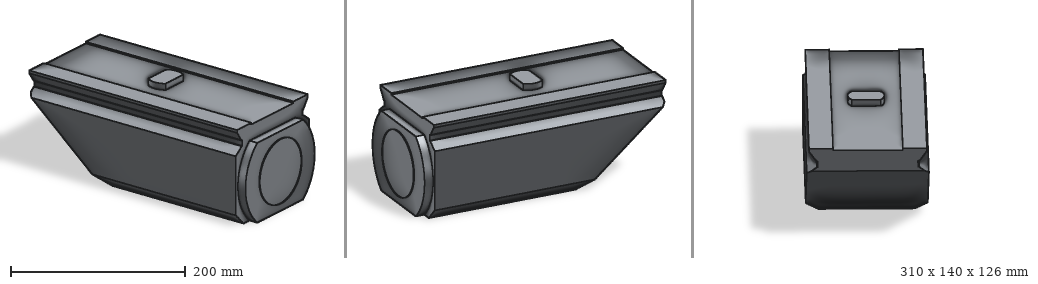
import cadquery as cq
import math

body_length = 298.0
body_width = 140.0
body_height = 120.0
bottom_chamfer = 15.0

rail_width = 135.0
rail_lip_bottom = 116.5
neck_width = 115.0
flank_root_width = 117.5
neck_top = 104.0
neck_bottom = 97.0
shoulder_bottom = 88.3

channel_width = 80.0
channel_depth = 2.0
channel_floor = body_height - channel_depth

slope_angle = 40.0
slope_run = 110.0
slope_rise = slope_run * math.tan(math.radians(slope_angle))

key_diameter = 42.0
key_width = 25.0
key_top = 126.0
key_x = 145.0

flange_diameter = 132.0
flange_height = 99.0
flange_thickness = 11.0
flange_center_z = flange_height / 2

pad_diameter = 80.0
pad_thickness = 1.0


def make_body():
    """Constant cross-section of body and dovetail, with the channel in its top."""
    half_profile = [
        (body_width / 2 - bottom_chamfer, 0),
        (body_width / 2, bottom_chamfer),
        (body_width / 2, shoulder_bottom),
        (flank_root_width / 2, neck_bottom),
        (neck_width / 2, neck_bottom),
        (neck_width / 2, neck_top),
        (flank_root_width / 2, neck_top),
        (rail_width / 2, rail_lip_bottom),
        (rail_width / 2, body_height),
        (channel_width / 2, body_height),
        (channel_width / 2, channel_floor),
    ]
    mirrored_half = [(-y, z) for y, z in reversed(half_profile)]
    profile = half_profile + mirrored_half
    return cq.Workplane("YZ").polyline(profile).close().extrude(body_length)


def make_slope_cut():
    """Triangular prism removed from the lower -X end."""
    triangle = [(0, 0), (slope_run, 0), (0, slope_rise)]
    return cq.Workplane("XZ").polyline(triangle).close().extrude(body_width / 2, both=True)


def make_key():
    """Pin with flats facing -X and +X, rising from the channel floor."""
    key_height = key_top - channel_floor
    base = cq.Workplane("XY", origin=(key_x, 0, channel_floor))
    pin = base.circle(key_diameter / 2).extrude(key_height)
    between_flats = base.rect(key_width, key_diameter).extrude(key_height)
    return pin.intersect(between_flats)


def make_flange():
    """Disc trimmed flat at top and bottom, carrying the round pad."""
    base = cq.Workplane("YZ", origin=(body_length, 0, flange_center_z))
    disc = base.circle(flange_diameter / 2).extrude(flange_thickness)
    between_flats = base.rect(flange_diameter, flange_height).extrude(flange_thickness)
    pad = base.circle(pad_diameter / 2).extrude(flange_thickness + pad_thickness)
    return disc.intersect(between_flats).union(pad)


result = make_body().cut(make_slope_cut()).union(make_key()).union(make_flange())